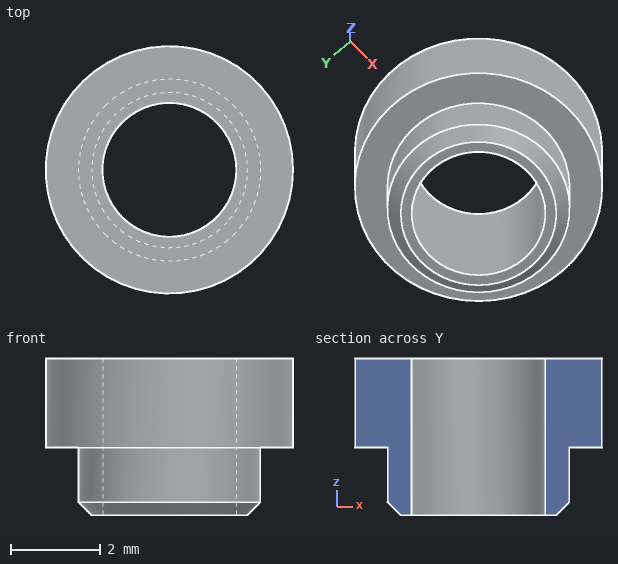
import cadquery as cq

head_diameter = 5.56
spigot_diameter = 4.09
bore_diameter = 3.0
total_height = 3.53
head_height = 2.005
chamfer_size = 0.3

spigot_height = total_height - head_height

spigot = (
    cq.Workplane("XY")
    .circle(spigot_diameter / 2)
    .extrude(spigot_height)
    .faces("<Z")
    .edges()
    .chamfer(chamfer_size)
)

head = (
    cq.Workplane("XY")
    .workplane(offset=spigot_height)
    .circle(head_diameter / 2)
    .extrude(head_height)
)

bore = cq.Workplane("XY").circle(bore_diameter / 2).extrude(total_height)

result = spigot.union(head).cut(bore)